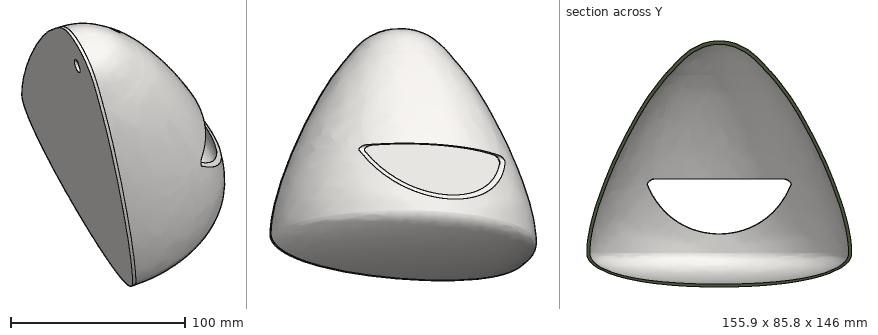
import cadquery as cq
import math


WIDTH = 155.9
DEPTH = 85.8
HEIGHT = 146.0
HALF_WIDTH = WIDTH / 2

WALL = 2.0
PLATE_THICKNESS = 2.0

SHOULDER_X = 34.8
SHOULDER_Z = 123.3
SHOULDER_HEADING = 50
WIDEST_Z = 20.0
KNOTS = [
    (0, HEIGHT, 0),
    (SHOULDER_X, SHOULDER_Z, SHOULDER_HEADING),
    (HALF_WIDTH, WIDEST_Z, 90),
    (0, 0, 180),
]

HANDLES = [
    (20.0, 12.6),
    (24.0, 28.7),
    (11.8, 48.0),
]

DOME_DEPTH = DEPTH - PLATE_THICKNESS
DOME_STRETCH = DOME_DEPTH / HALF_WIDTH
CAVITY_STRETCH = (DOME_DEPTH - WALL) / (HALF_WIDTH - WALL)

HOLE_DIAMETER = 8.0
HOLE_FROM_TOP = 18.0

MOUTH_TOP_Z = 62.4
MOUTH_ROOT_Y = 55.8
MOUTH_LIP_Y = DEPTH
MOUTH_LIP_Z = 27.3
MOUTH_ROOT_RADIUS = 2.0


def heading_vector(heading):
    """Unit vector in the XZ plane, turned down from +X by the heading."""
    angle = math.radians(heading)
    return cq.Vector(math.cos(angle), 0, -math.sin(angle))


def right_edges(inset):
    """Curves of the right half of the outline, moved inward by inset."""
    edges = []
    for start, end, handles in zip(KNOTS, KNOTS[1:], HANDLES):
        outer_points = [cq.Vector(x, 0, z) for x, z, _ in (start, end)]
        headings = [heading for _, _, heading in (start, end)]
        inner_points = [
            point + heading_vector(heading + 90) * inset
            for point, heading in zip(outer_points, headings)
        ]
        outer_chord = (outer_points[1] - outer_points[0]).Length
        shrink = (inner_points[1] - inner_points[0]).Length / outer_chord
        start_handle = inner_points[0] + heading_vector(headings[0]) * handles[0] * shrink
        end_handle = inner_points[1] - heading_vector(headings[1]) * handles[1] * shrink
        edges.append(cq.Edge.makeBezier([inner_points[0], start_handle, end_handle, inner_points[1]]))
    return edges


def half_dome(inset, stretch):
    """Right half of the outline given a half turn about Z, then stretched in Y."""
    edges = right_edges(inset)
    axis = cq.Edge.makeLine(edges[-1].endPoint(), edges[0].startPoint())
    profile = cq.Wire.assembleEdges([*edges, axis])
    turned = cq.Solid.revolve(profile, [], 180, cq.Vector(0, 0, 0), cq.Vector(0, 0, 1))
    stretch_in_y = cq.Matrix([[1, 0, 0, 0], [0, stretch, 0, 0], [0, 0, 1, 0]])
    return cq.Workplane(turned.transformGeometry(stretch_in_y)).translate((0, PLATE_THICKNESS, 0))


def mouth_cutter():
    """Wedge across the full width, its root rounded and its open end beyond the dome."""
    slope = (MOUTH_TOP_Z - MOUTH_LIP_Z) / (MOUTH_LIP_Y - MOUTH_ROOT_Y)
    outer_y = 2 * MOUTH_LIP_Y - MOUTH_ROOT_Y
    outer_z = MOUTH_TOP_Z - slope * (outer_y - MOUTH_ROOT_Y)
    return (
        cq.Workplane("YZ")
        .moveTo(MOUTH_ROOT_Y, MOUTH_TOP_Z)
        .lineTo(outer_y, MOUTH_TOP_Z)
        .lineTo(outer_y, outer_z)
        .close()
        .extrude(HALF_WIDTH, both=True)
        .edges("|X and <Y")
        .fillet(MOUTH_ROOT_RADIUS)
    )


def make_plate():
    """Flat plate over the whole outline, with the hanging hole near its crown."""
    right = right_edges(0)
    left = [edge.mirror("YZ") for edge in right]
    outline = cq.Wire.assembleEdges([*right, *reversed(left)])
    blank = cq.Solid.extrudeLinear(outline, [], cq.Vector(0, PLATE_THICKNESS, 0))
    hole = (
        cq.Workplane("XZ")
        .center(0, HEIGHT - HOLE_FROM_TOP)
        .circle(HOLE_DIAMETER / 2)
        .extrude(-PLATE_THICKNESS)
    )
    return cq.Workplane(blank).cut(hole).solids()


def make_shell():
    """Thin-walled half dome, open towards the plate and through the mouth."""
    cavity = half_dome(WALL, CAVITY_STRETCH)
    return half_dome(0, DOME_STRETCH).cut(cavity).cut(mouth_cutter()).solids()


plate = make_plate()
shell = make_shell()

result = cq.Compound.makeCompound([plate.val(), shell.val()])